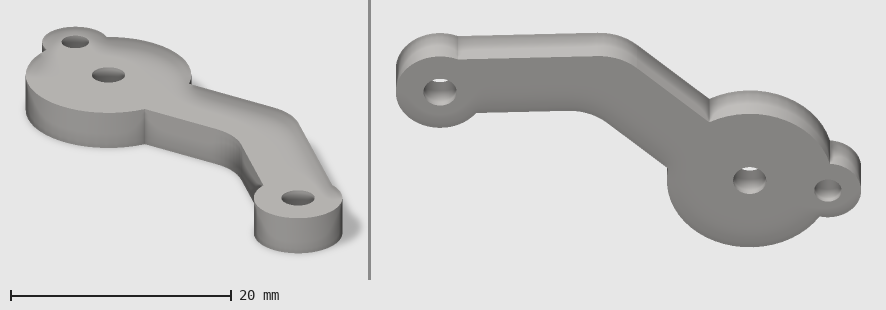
import cadquery as cq

thickness = 3.6

hub_radius = 7.5
hub_hole_diameter = 3.0
hub_center = (0, 0)

ear_radius = 3.0
ear_hole_diameter = 2.5
ear_center = (-6.95, 1.85)

arm_end_radius = 4.0
arm_end_hole_diameter = 3.0
overall_length = 43.65
arm_end_center = (overall_length + ear_center[0] - ear_radius - arm_end_radius, -2.23)

arm_depth = 6.7
arm_root_top = 2.45
arm_bend = (16.4, 8.1)
arm_bend_radius = 5.0


def disc(center, radius):
    return cq.Workplane("XY").center(*center).circle(radius).extrude(thickness)


def cranked_arm():
    end_x, end_y = arm_end_center
    upper_edge = [(hub_center[0], arm_root_top), arm_bend, (end_x, end_y + arm_end_radius)]
    lower_edge = [(x, y - arm_depth) for x, y in reversed(upper_edge)]
    arm = cq.Workplane("XY").polyline(upper_edge + lower_edge).close().extrude(thickness)
    margin = 0.45
    bend_corners = cq.selectors.BoxSelector(
        (arm_bend[0] - margin, arm_bend[1] - arm_depth - margin, 0),
        (arm_bend[0] + margin, arm_bend[1] + margin, thickness),
    )
    return arm.edges("|Z").edges(bend_corners).fillet(arm_bend_radius)


round_ends = [
    (hub_center, hub_radius, hub_hole_diameter),
    (ear_center, ear_radius, ear_hole_diameter),
    (arm_end_center, arm_end_radius, arm_end_hole_diameter),
]

result = cranked_arm()
for center, radius, _ in round_ends:
    result = result.union(disc(center, radius))
for center, _, hole_diameter in round_ends:
    result = result.cut(disc(center, hole_diameter / 2))